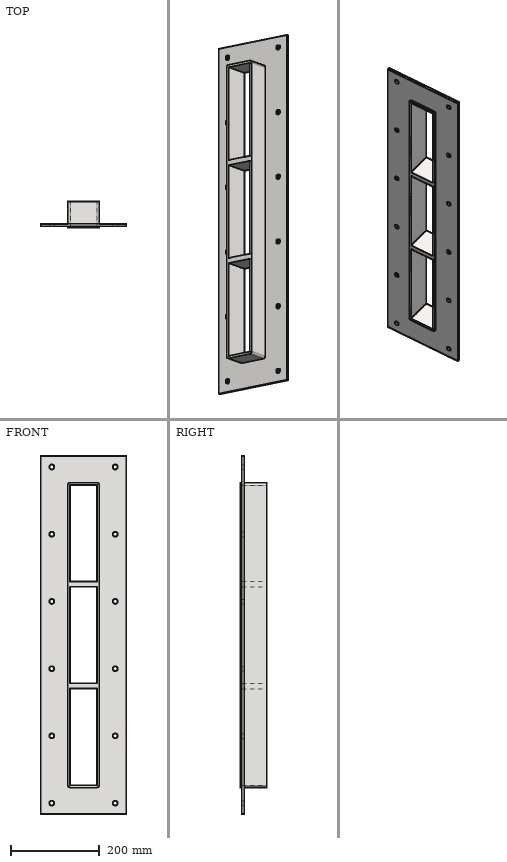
import cadquery as cq

plate_width = 193.0
plate_height = 806.0
plate_thickness = 6.05

duct_width = 71.0
duct_height = 686.0
duct_depth = 60.0
duct_lip = 3.0
duct_wall = 6.0
duct_corner_radius = 6.0

window_count = 3
divider_thickness = 12.0
window_width = duct_width - 2 * duct_wall
window_pitch = (duct_height - 2 * duct_wall + divider_thickness) / window_count
window_height = window_pitch - divider_thickness

hole_diameter = 10.5
hole_edge_distance = 25.0
hole_rows = 6
hole_columns = 2
hole_spacing_x = (plate_width - 2 * hole_edge_distance) / (hole_columns - 1)
hole_spacing_z = (plate_height - 2 * hole_edge_distance) / (hole_rows - 1)


def plane_at(y):
    """Sketch plane parallel to XZ whose extrusions run toward +Y."""
    return cq.Workplane("XZ", origin=(0, y, 0))


def make_plate():
    """Flat plate with its front face at Y = 0, drilled for mounting."""
    blank = plane_at(0).rect(plate_width, plate_height).extrude(-plate_thickness)
    holes = (
        plane_at(0)
        .rarray(hole_spacing_x, hole_spacing_z, hole_columns, hole_rows)
        .circle(hole_diameter / 2)
        .extrude(-plate_thickness)
    )
    return blank.cut(holes)


def make_duct_body():
    """Solid block of the duct with its four long corners rounded."""
    block = plane_at(-duct_lip).rect(duct_width, duct_height).extrude(-duct_depth)
    return block.edges("|Y").fillet(duct_corner_radius)


def make_windows():
    """Row of square-cornered openings running the full duct depth."""
    return (
        plane_at(-duct_lip)
        .rarray(8, window_pitch, 1, window_count)
        .rect(window_width, window_height)
        .extrude(-duct_depth)
    )


result = make_plate().union(make_duct_body()).cut(make_windows())